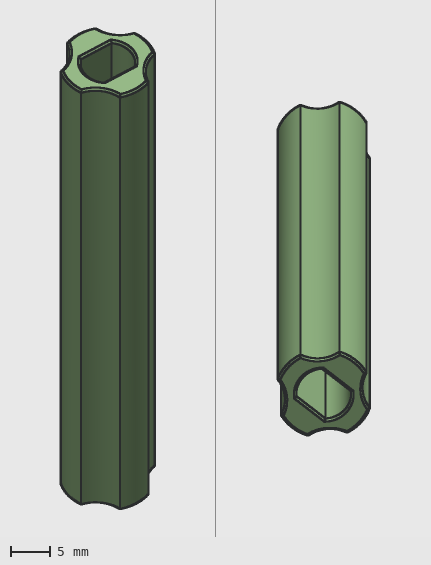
import cadquery as cq
import math

length = 78.1
outer_radius = 6.25
lobe_half_width = 2.3
flute_floor_radius = 5.0
flute_count = 4
outer_chamfer = 0.3

bore_radius = 3.5
bore_flat_width = 5.1
bore_chamfer = 0.3

flute_pitch = 2 * math.pi / flute_count
half_flute_angle = flute_pitch / 2 - math.asin(lobe_half_width / outer_radius)
flute_half_chord = outer_radius * math.sin(half_flute_angle)
flute_depth = outer_radius * math.cos(half_flute_angle) - flute_floor_radius
flute_radius = (flute_half_chord**2 + flute_depth**2) / (2 * flute_depth)
flute_centre_distance = flute_floor_radius + flute_radius


def fluted_bar():
    """Round bar with concave flutes on the diagonals and both end edges chamfered."""
    bar = cq.Workplane("XY").circle(outer_radius).extrude(length)
    first_flute_angle = math.degrees(flute_pitch / 2)
    flutes = (
        cq.Workplane("XY")
        .polarArray(flute_centre_distance, first_flute_angle, 360, flute_count)
        .circle(flute_radius)
        .extrude(length)
    )
    return bar.cut(flutes).faces("<Z or >Z").chamfer(outer_chamfer)


def bore_mouth(end_height, inward):
    """Flare at one end of the bore; inward is +1 or -1, the Z direction into the part."""
    mouth_radius = bore_radius + bore_chamfer
    flat_distance = bore_flat_width / 2
    mouth_flat_distance = flat_distance + bore_chamfer
    chamfer_floor = end_height + inward * bore_chamfer

    end_centre = cq.Vector(0, 0, end_height)
    axis = cq.Vector(0, 0, inward)
    cone = cq.Workplane(cq.Solid.makeCone(mouth_radius, bore_radius, bore_chamfer, end_centre, axis))
    sloped_flats = (
        cq.Workplane("XZ")
        .polyline([
            (-mouth_flat_distance, end_height),
            (mouth_flat_distance, end_height),
            (flat_distance, chamfer_floor),
            (-flat_distance, chamfer_floor),
        ])
        .close()
        .extrude(mouth_radius, both=True)
    )
    return cone.intersect(sloped_flats)


def double_flat_bore():
    """Through bore with two flats, flared by a chamfer at each end."""
    between_flats = cq.Workplane("XY").rect(bore_flat_width, 2 * bore_radius).extrude(length)
    bore = cq.Workplane("XY").circle(bore_radius).extrude(length).intersect(between_flats)
    return bore.union(bore_mouth(0, 1)).union(bore_mouth(length, -1))


result = fluted_bar().cut(double_flat_bore())